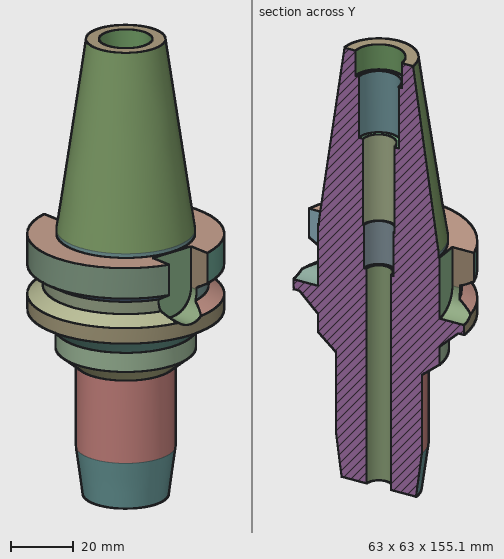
import cadquery as cq

total_height = 155.1
nose_taper_top = 16.3
shank_top = 44.5
collar_bottom = 50.0
collar_top = 56.5
flange_bottom = 63.0
groove_lower_edge = 68.2
groove_floor_bottom = 71.2
groove_floor_top = 75.4
groove_upper_edge = 78.3
flange_top = 88.7
cone_base = 90.1

nose_tip_radius = 13.8
shank_radius = 16.0
collar_radius = 22.5
flange_radius = 31.5
flange_underside_radius = 29.3
groove_radius = 26.5
cone_base_radius = 22.2
cone_top_radius = 12.7

bore_steps = [(8.5, 9.0), (7.3, 31.0), (5.7, 62.0), (5.5, 77.5)]
through_radius = 4.5

slot_width = 16.1
slot_floor_offset = 22.5
slot_bottom = 66.7


def make_body():
    """Revolve the outer profile, given as (radius, height) points."""
    profile = [
        (0, 0),
        (nose_tip_radius, 0),
        (shank_radius, nose_taper_top),
        (shank_radius, shank_top),
        (collar_radius, collar_bottom),
        (collar_radius, collar_top),
        (flange_underside_radius, flange_bottom),
        (flange_radius, flange_bottom),
        (flange_radius, groove_lower_edge),
        (groove_radius, groove_floor_bottom),
        (groove_radius, groove_floor_top),
        (flange_radius, groove_upper_edge),
        (flange_radius, flange_top),
        (cone_base_radius, flange_top),
        (cone_base_radius, cone_base),
        (cone_top_radius, total_height),
        (0, total_height),
    ]
    return cq.Workplane("XZ").polyline(profile).close().revolve(360, (0, 0), (0, 1))


def cut_bore(body):
    """Cut the stepped bore from the cone top and the hole through the part."""
    for radius, depth in bore_steps:
        body = body.cut(
            cq.Workplane("XY", origin=(0, 0, total_height)).circle(radius).extrude(-depth)
        )
    return body.cut(cq.Workplane("XY").circle(through_radius).extrude(total_height))


def make_drive_slot():
    """Round-bottomed slot on the +X side, open at the flange top."""
    half_width = slot_width / 2
    arc_center = slot_bottom + half_width
    return (
        cq.Workplane("YZ", origin=(slot_floor_offset, 0, 0))
        .moveTo(-half_width, flange_top)
        .lineTo(-half_width, arc_center)
        .threePointArc((0, slot_bottom), (half_width, arc_center))
        .lineTo(half_width, flange_top)
        .close()
        .extrude(flange_radius)
    )


result = cut_bore(make_body())
for angle in (0, 180):
    result = result.cut(make_drive_slot().rotate((0, 0, 0), (0, 0, 1), angle))